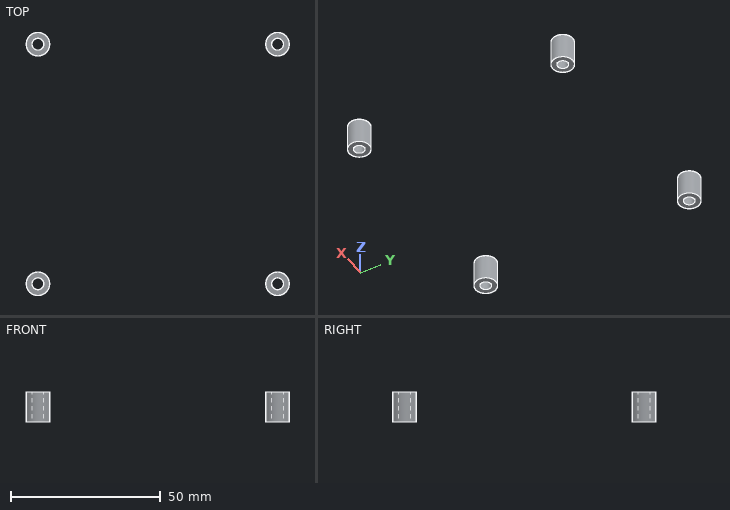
import cadquery as cq

OVERALL_SPAN = 87.9
SPACER_DIAMETER = 7.9
BORE_DIAMETER = 3.9
SPACER_HEIGHT = 10.0

AXIS_OFFSET = (OVERALL_SPAN - SPACER_DIAMETER) / 2


def make_spacer(x, y):
    """Plain round spacer with a through bore, standing on the XY plane."""
    return (
        cq.Workplane("XY")
        .center(x, y)
        .circle(SPACER_DIAMETER / 2)
        .circle(BORE_DIAMETER / 2)
        .extrude(SPACER_HEIGHT)
    )


spacers = []
for x in (-AXIS_OFFSET, AXIS_OFFSET):
    for y in (-AXIS_OFFSET, AXIS_OFFSET):
        spacers.append(make_spacer(x, y).val())

result = cq.Compound.makeCompound(spacers)